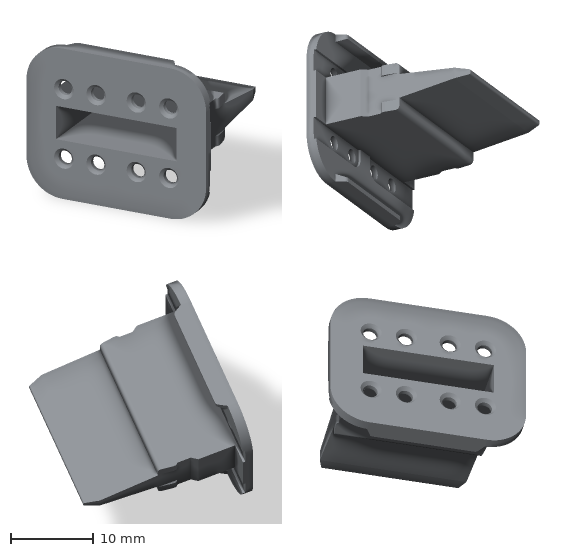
import cadquery as cq
import math

flange_width = 24.4
flange_height = 19.65
flange_thickness = 1.3
flange_corner_radius = 4.85

tab_end_y = 2.55
tab_root_width = flange_width - 2 * flange_corner_radius
tab_side_inset = 0.75
tab_corner_radius = 0.5
tab_root_thickness = 1.0
tab_end_thickness = 0.56

body_height = 6.25
body_front_width = 19.4
body_rear_width = 18.28
body_step_start_y = 6.15
body_step_end_y = 6.9
body_end_y = 11.22
body_rear_radius = 0.5

bump_height = 1.35
bump_projection = 0.25
bump_front_y = 8.65
bump_crest_front_y = 8.93
bump_crest_rear_y = 9.37

part_length = 20.8
tongue_root_thickness = 3.18
tip_start_y = 18.9
tip_start_thickness = 1.42
tip_end_width = 17.04
tip_end_thickness = 0.62
tip_end_radius = 0.2

cavity_width = 16.35
cavity_height = 4.35
wall = (body_height - cavity_height) / 2
cavity_depth = body_end_y - wall
wedge_end_half_height = 0.48

hole_diameter = 1.8
countersink_diameter = 2.62
countersink_angle = 90
hole_inner_x = 2.73
hole_outer_x = 7.13
hole_z = 4.54

recess_depth = 0.3
recess_outer_z = 5.95
recess_corner_radius = 1.57
recess_inner_x = hole_inner_x - recess_corner_radius


def block(width, height, y_start, y_end):
    """Box centred on the Y axis between two Y positions."""
    return cq.Workplane("XY").box(width, y_end - y_start, height).translate((0, (y_start + y_end) / 2, 0))


def extrude_along_x(points, width):
    """Prism of a (y, z) outline, centred on x = 0."""
    return cq.Workplane("YZ").polyline(points).close().extrude(width / 2, both=True)


def mirrored_outline(half_sizes):
    """Closed outline from (position, half size) pairs: the positive side, then its mirror image."""
    lower = [(y, -half) for y, half in reversed(half_sizes)]
    return half_sizes + lower


def in_four_quadrants(solid):
    """The solid with its mirror images across x = 0 and z = 0."""
    pair = solid.union(solid.mirror("YZ"))
    return pair.union(pair.mirror("XY"))


def make_flange():
    plate = block(flange_width, flange_height, 0, flange_thickness)
    return plate.edges("|Y").fillet(flange_corner_radius)


def make_tab():
    """Upper tab: thins toward its end, sides lean in, end corners rounded."""
    outer_z = flange_height / 2
    section = [
        (0, outer_z),
        (tab_end_y, outer_z),
        (tab_end_y, outer_z - tab_end_thickness),
        (flange_thickness, outer_z - tab_root_thickness),
        (0, outer_z - tab_root_thickness),
    ]
    root_half = tab_root_width / 2
    end_half = root_half - tab_side_inset
    outline = [
        (-root_half, 0),
        (-root_half, flange_thickness),
        (-end_half, tab_end_y),
        (end_half, tab_end_y),
        (root_half, flange_thickness),
        (root_half, 0),
    ]
    plan = cq.Workplane("XY").polyline(outline).close().extrude(outer_z)
    plan = plan.edges("|Z and >Y").fillet(tab_corner_radius)
    return extrude_along_x(section, tab_root_width).intersect(plan)


def make_body():
    front_half = body_front_width / 2
    rear_half = body_rear_width / 2
    outline = [
        (-front_half, 0),
        (front_half, 0),
        (front_half, body_step_start_y),
        (rear_half, body_step_end_y),
        (rear_half, body_end_y),
        (-rear_half, body_end_y),
        (-rear_half, body_step_end_y),
        (-front_half, body_step_start_y),
    ]
    return cq.Workplane("XY").polyline(outline).close().extrude(body_height / 2, both=True)


def make_bump():
    """Latch bump on the +X side, at the top of the body."""
    side_x = body_rear_width / 2
    crest_x = side_x + bump_projection
    outline = [
        (0, bump_front_y),
        (side_x, bump_front_y),
        (crest_x, bump_crest_front_y),
        (crest_x, bump_crest_rear_y),
        (side_x, body_end_y),
        (0, body_end_y),
    ]
    bump = cq.Workplane("XY").polyline(outline).close().extrude(bump_height)
    return bump.translate((0, 0, body_height / 2 - bump_height))


def make_tongue():
    section = mirrored_outline([
        (body_end_y, tongue_root_thickness / 2),
        (tip_start_y, tip_start_thickness / 2),
        (part_length, tip_end_thickness / 2),
    ])
    plan = mirrored_outline([
        (body_end_y, body_rear_width / 2),
        (tip_start_y, body_rear_width / 2),
        (part_length, tip_end_width / 2),
    ])
    plan_points = [(x, y) for y, x in plan]
    plan_solid = cq.Workplane("XY").polyline(plan_points).close().extrude(tongue_root_thickness, both=True)
    wedge = extrude_along_x(section, body_rear_width).edges("|X and >Y").fillet(tip_end_radius)
    return wedge.intersect(plan_solid)


def make_cavity():
    """Rectangular pocket, then a narrow wedge whose sides keep the wall thickness to the tongue."""
    slope = (tongue_root_thickness - tip_start_thickness) / 2 / (tip_start_y - body_end_y)
    wedge_start_half_height = tongue_root_thickness / 2 + slope * wall - wall
    wedge_length = (wedge_start_half_height - wedge_end_half_height) / slope
    section = mirrored_outline([
        (0, cavity_height / 2),
        (cavity_depth, cavity_height / 2),
        (cavity_depth, wedge_start_half_height),
        (cavity_depth + wedge_length, wedge_end_half_height),
    ])
    return extrude_along_x(section, cavity_width)


def make_recess():
    """Recess on the +X, +Z quarter: open through the flange edge, the far outer corner rounded."""
    inner_z = body_height / 2
    width = flange_width / 2 - recess_inner_x
    pocket = cq.Workplane("XY").box(width, recess_depth, recess_outer_z - inner_z, centered=False)
    pocket = pocket.edges("|Y and <X and >Z").fillet(recess_corner_radius)
    return pocket.translate((recess_inner_x, flange_thickness - recess_depth, inner_z))


def drill_holes(part):
    columns = [-hole_outer_x, -hole_inner_x, hole_inner_x, hole_outer_x]
    centres = [(x, z) for x in columns for z in (-hole_z, hole_z)]
    front = cq.Workplane("XZ")
    sink_depth = (countersink_diameter - hole_diameter) / 2 / math.tan(math.radians(countersink_angle / 2))
    bores = front.pushPoints(centres).circle(hole_diameter / 2).extrude(-flange_thickness)
    sinks = front.pushPoints(centres).circle(countersink_diameter / 2).extrude(
        -sink_depth, taper=countersink_angle / 2)
    return part.cut(bores).cut(sinks)


body = make_body().union(in_four_quadrants(make_bump()))
body = body.faces(">Y").edges(">Z or <Z").fillet(body_rear_radius)
tab = make_tab()

result = make_flange().union(tab).union(tab.mirror("XY"))
result = result.cut(in_four_quadrants(make_recess()))
result = result.union(body).union(make_tongue()).cut(make_cavity())
result = drill_holes(result)